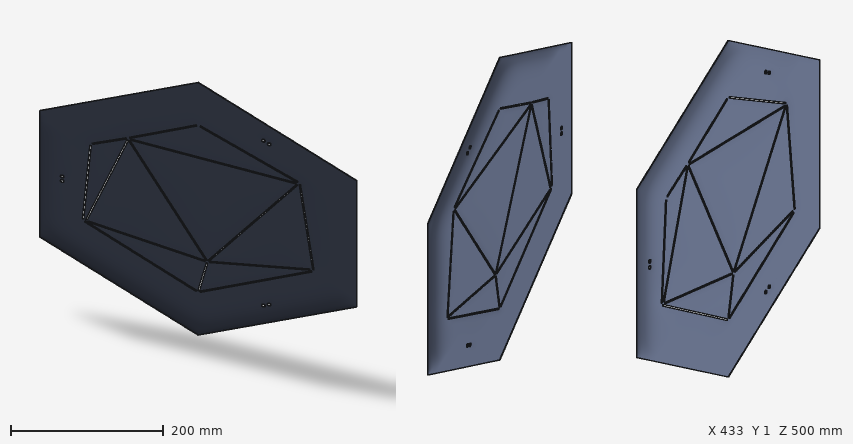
import cadquery as cq
import math

corner_distance = 500.0
thickness = 1.0

slot_width = 2.0
node_gap = 3.0

hole_diameter = 5.0
hole_spacing = 9.0
hole_pair_radius = 186.0
hole_pair_angles = (60, 180, 300)

top = (0.0, 165.5)
bottom = (0.0, -165.0)
left_upper = (-147.0, 81.0)
left_lower = (-157.5, -73.0)
right_upper = (138.5, 95.0)
right_lower = (157.5, -73.0)
face_left = (-96.0, 109.0)
face_bottom = (12.5, -101.0)

face_left_inner = (-95.5, 107.5)
left_lower_inner = (-153.5, -73.0)
right_upper_inner = (136.5, 93.0)
right_lower_inner = (155.5, -71.0)

outline_edges = [
    (top, face_left),
    (face_left, left_upper),
    (left_upper, left_lower),
    (left_lower, bottom),
    (bottom, right_lower),
    (right_lower, right_upper),
    (right_upper, top),
]
inner_edges = [
    (face_left_inner, right_upper_inner),
    (right_upper_inner, face_bottom),
    (face_bottom, face_left_inner),
    (face_left_inner, left_lower_inner),
    (left_lower_inner, face_bottom),
    (face_bottom, right_lower_inner),
    (face_bottom, bottom),
]


def plate_plane():
    """Plane with local x along X, local y along Z, centred in the thickness."""
    return cq.Workplane("XZ")


def make_plate():
    hexagon = plate_plane().transformed(rotate=(0, 0, 90)).polygon(6, corner_distance)
    return hexagon.extrude(thickness / 2, both=True)


def edge_slot(start, end):
    """Through cutter along one edge, held back from the node at each end."""
    run = end[0] - start[0]
    rise = end[1] - start[1]
    length = math.hypot(run, rise) - 2 * node_gap
    angle = math.degrees(math.atan2(rise, run))
    middle = ((start[0] + end[0]) / 2, (start[1] + end[1]) / 2)
    outline = plate_plane().center(*middle).transformed(rotate=(0, 0, angle)).rect(length, slot_width)
    return outline.extrude(thickness, both=True)


def hole_pair(angle):
    """Two through cutters set side by side across the given radial direction."""
    frame = plate_plane().transformed(rotate=(0, 0, angle))
    centres = [(hole_pair_radius, side * hole_spacing / 2) for side in (-1, 1)]
    return frame.pushPoints(centres).circle(hole_diameter / 2).extrude(thickness, both=True)


result = make_plate()
for start, end in outline_edges + inner_edges:
    result = result.cut(edge_slot(start, end))
for angle in hole_pair_angles:
    result = result.cut(hole_pair(angle))